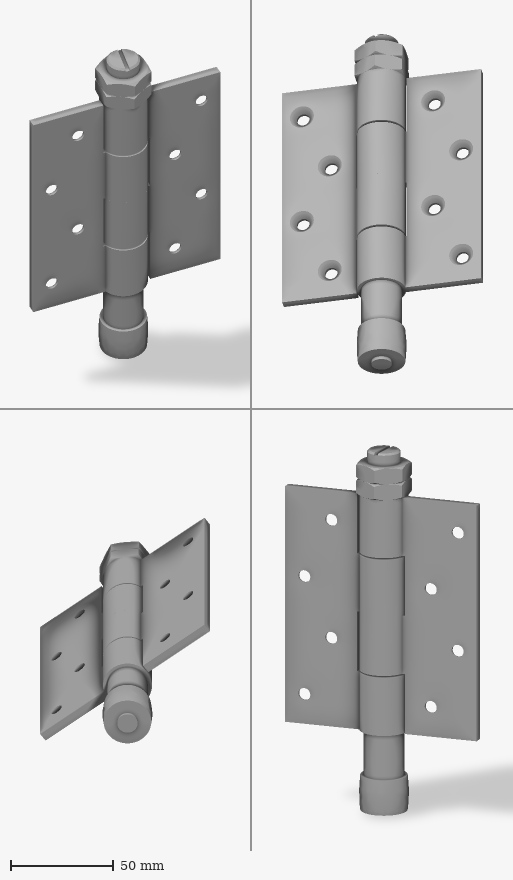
import cadquery as cq
import math

LEAF_HEIGHT = 120.0
HINGE_SPAN = 100.0
PLATE_THICKNESS = 4.5
PLATE_FACE_X = -0.2
KNUCKLE_DIAMETER = 24.0
KNUCKLE_GAP = 1.1
PLATE_CLEARANCE = 0.5

SCREW_DIAMETER = 6.3
COUNTERSINK_DIAMETER = 12.0
COUNTERSINK_ANGLE = 90.0
SCREWS_PER_LEAF = 4
SCREW_EDGE_INSET = 10.0
SCREW_STAGGER = 14.0

PIN_DIAMETER = 16.5
PIN_CHAMFER = 1.0
PIN_PROJECTION = 6.3
SLOT_WIDTH = 2.0
SLOT_DEPTH = 1.5
SLOT_TURN = -8.6

NUT_SIDES = 6
NUT_ACROSS_FLATS = 24.0
NUT_HEIGHT = 8.1
NUT_CHAMFER_ANGLE = 30.0
NUT_TURNS = (-0.7, 0.7)

ROD_DIAMETER = 20.0
ROD_LENGTH = 23.0
KNOB_END_DIAMETER = 23.3
KNOB_MID_DIAMETER = 24.5
KNOB_HEIGHT = 17.8
STEM_DIAMETER = 10.0
TOTAL_HEIGHT = 185.0

KNUCKLE_RADIUS = KNUCKLE_DIAMETER / 2
KNUCKLE_HEIGHT = (LEAF_HEIGHT - 2 * KNUCKLE_GAP) / 4
BARREL_MIDDLE = LEAF_HEIGHT / 2
KNUCKLES = (
    (LEAF_HEIGHT - KNUCKLE_HEIGHT, LEAF_HEIGHT),
    (BARREL_MIDDLE, BARREL_MIDDLE + KNUCKLE_HEIGHT),
    (BARREL_MIDDLE - KNUCKLE_HEIGHT, BARREL_MIDDLE),
    (0.0, KNUCKLE_HEIGHT),
)
PIN_TOP = LEAF_HEIGHT + len(NUT_TURNS) * NUT_HEIGHT + PIN_PROJECTION
KNOB_TOP = -ROD_LENGTH
KNOB_BOTTOM = KNOB_TOP - KNOB_HEIGHT
STEM_BOTTOM = PIN_TOP - TOTAL_HEIGHT


def cylinder(diameter, bottom, top):
    """Round bar on the hinge axis between two heights."""
    return cq.Workplane("XY", origin=(0, 0, bottom)).circle(diameter / 2).extrude(top - bottom)


def plate_block(inner_y, outer_y, bottom, top):
    """Block of plate thickness, on the side of the axis given by the sign of its Y limits."""
    return (
        cq.Workplane("XY", origin=(PLATE_FACE_X, 0, bottom))
        .moveTo(0, inner_y)
        .rect(PLATE_THICKNESS, outer_y - inner_y, centered=False)
        .extrude(top - bottom)
    )


def screw_points(side, outer_first):
    """(Y, Z) of the staggered screws, from the top of the leaf down."""
    pitch = LEAF_HEIGHT / SCREWS_PER_LEAF
    outer_y = HINGE_SPAN / 2 - SCREW_EDGE_INSET
    points = []
    for index in range(SCREWS_PER_LEAF):
        is_outer = (index % 2 == 0) == outer_first
        y = outer_y if is_outer else outer_y - SCREW_STAGGER
        points.append((side * y, LEAF_HEIGHT - (index + 0.5) * pitch))
    return points


def make_leaf(side, knuckles, outer_first):
    """Plate on one side (+1 or -1 along Y) with its knuckles, pin bore and screw holes."""
    edge_y = side * (KNUCKLE_RADIUS + PLATE_CLEARANCE)
    leaf = plate_block(edge_y, side * HINGE_SPAN / 2, 0, LEAF_HEIGHT)
    for bottom, top in knuckles:
        leaf = leaf.union(cylinder(KNUCKLE_DIAMETER, bottom, top))
        leaf = leaf.union(plate_block(0, edge_y, bottom, top))
    leaf = leaf.cut(cylinder(PIN_DIAMETER, 0, LEAF_HEIGHT))
    hole_plane = cq.Plane(origin=(PLATE_FACE_X, 0, 0), xDir=(0, -1, 0), normal=(-1, 0, 0))
    holes = [(-y, z) for y, z in screw_points(side, outer_first)]
    return (
        leaf.copyWorkplane(cq.Workplane(hole_plane))
        .pushPoints(holes)
        .cskHole(SCREW_DIAMETER, COUNTERSINK_DIAMETER, COUNTERSINK_ANGLE, PLATE_THICKNESS)
    )


def make_nut(bottom, turn):
    """Hexagon nut with its corners chamfered on both end faces."""
    face_radius = NUT_ACROSS_FLATS / 2
    corner_radius = face_radius / math.cos(math.pi / NUT_SIDES)
    chamfer_height = (corner_radius - face_radius) * math.tan(math.radians(NUT_CHAMFER_ANGLE))
    hexagon = cq.Workplane("XY").polygon(NUT_SIDES, 2 * corner_radius).extrude(NUT_HEIGHT)
    chamfer_envelope = (
        cq.Workplane("XZ")
        .polyline([
            (0, 0),
            (face_radius, 0),
            (corner_radius, chamfer_height),
            (corner_radius, NUT_HEIGHT - chamfer_height),
            (face_radius, NUT_HEIGHT),
            (0, NUT_HEIGHT),
        ])
        .close()
        .revolve(360, (0, 0), (0, 1))
    )
    nut = hexagon.intersect(chamfer_envelope).cut(cylinder(PIN_DIAMETER, 0, NUT_HEIGHT))
    return nut.rotate((0, 0, 0), (0, 0, 1), turn).translate((0, 0, bottom))


def make_pin():
    """Hinge pin through all knuckles and nuts, with a screwdriver slot in its top."""
    pin = cylinder(PIN_DIAMETER, 0, PIN_TOP).faces(">Z").chamfer(PIN_CHAMFER)
    slot = (
        cq.Workplane("XY", origin=(0, 0, PIN_TOP - SLOT_DEPTH))
        .rect(2 * PIN_DIAMETER, SLOT_WIDTH)
        .extrude(2 * SLOT_DEPTH)
        .rotate((0, 0, 0), (0, 0, 1), SLOT_TURN)
    )
    return pin.cut(slot)


def make_knob():
    """Barrel-shaped knob with a bulging side, bored for the stem."""
    end_radius = KNOB_END_DIAMETER / 2
    knob = (
        cq.Workplane("XZ")
        .moveTo(0, KNOB_BOTTOM)
        .lineTo(end_radius, KNOB_BOTTOM)
        .threePointArc((KNOB_MID_DIAMETER / 2, KNOB_TOP - KNOB_HEIGHT / 2), (end_radius, KNOB_TOP))
        .lineTo(0, KNOB_TOP)
        .close()
        .revolve(360, (0, 0), (0, 1))
    )
    return knob.cut(cylinder(STEM_DIAMETER, KNOB_BOTTOM, KNOB_TOP))


plus_y_leaf = make_leaf(1, KNUCKLES[0::2], True)
minus_y_leaf = make_leaf(-1, KNUCKLES[1::2], False)
pin = make_pin()
nuts = [make_nut(LEAF_HEIGHT + i * NUT_HEIGHT, turn) for i, turn in enumerate(NUT_TURNS)]
rod = cylinder(ROD_DIAMETER, KNOB_TOP, 0)
knob = make_knob()
stem = cylinder(STEM_DIAMETER, STEM_BOTTOM, KNOB_TOP)

result = cq.Compound.makeCompound([
    plus_y_leaf.val(),
    minus_y_leaf.val(),
    pin.val(),
    *[nut.val() for nut in nuts],
    rod.val(),
    knob.val(),
    stem.val(),
])